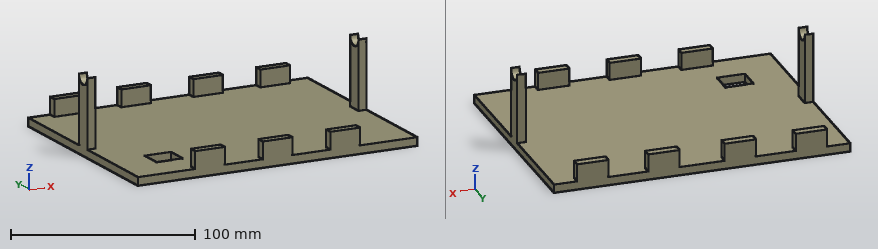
import cadquery as cq

plate_length = 170
plate_width = 130.0
plate_thickness = 5.0

tab_length = 18.0
tab_height = 10.0
tab_thickness = 5.1
rear_inner_offset = 22.0
rear_outer_offset = 62.7
front_outer_offset = 41.1

overall_height = 45.2
post_width = 10.0
post_thickness = plate_thickness
groove_radius = post_width / 2

window_length = 16.0
window_width = 14.0
window_x = -54.7
window_y = -36.5


def standing_block(length, width, height, x, y):
    """Box centred at (x, y) that rises from the underside of the plate."""
    block = cq.Workplane("XY").box(length, width, height, centered=(True, True, False))
    return block.translate((x, y, 0))


def tab(x, side):
    """Edge tab; side is +1 for the rear edge and -1 for the front edge."""
    y = side * (plate_width - tab_thickness) / 2
    return standing_block(tab_length, tab_thickness, plate_thickness + tab_height, x, y)


def post(side):
    """Post on the +X or -X edge."""
    x = side * (plate_length - post_thickness) / 2
    return standing_block(post_thickness, post_width, overall_height, x, 0)


result = standing_block(plate_length, plate_width, plate_thickness, 0, 0)

for tab_x in (-rear_outer_offset, -rear_inner_offset, rear_inner_offset, rear_outer_offset):
    result = result.union(tab(tab_x, 1))

for tab_x in (-front_outer_offset, 0, front_outer_offset):
    result = result.union(tab(tab_x, -1))

for post_side in (-1, 1):
    result = result.union(post(post_side))

groove_cutter = (
    cq.Workplane("YZ")
    .center(0, overall_height)
    .circle(groove_radius)
    .extrude(plate_length / 2, both=True)
)
result = result.cut(groove_cutter)

window_cutter = standing_block(window_length, window_width, plate_thickness, window_x, window_y)
result = result.cut(window_cutter)